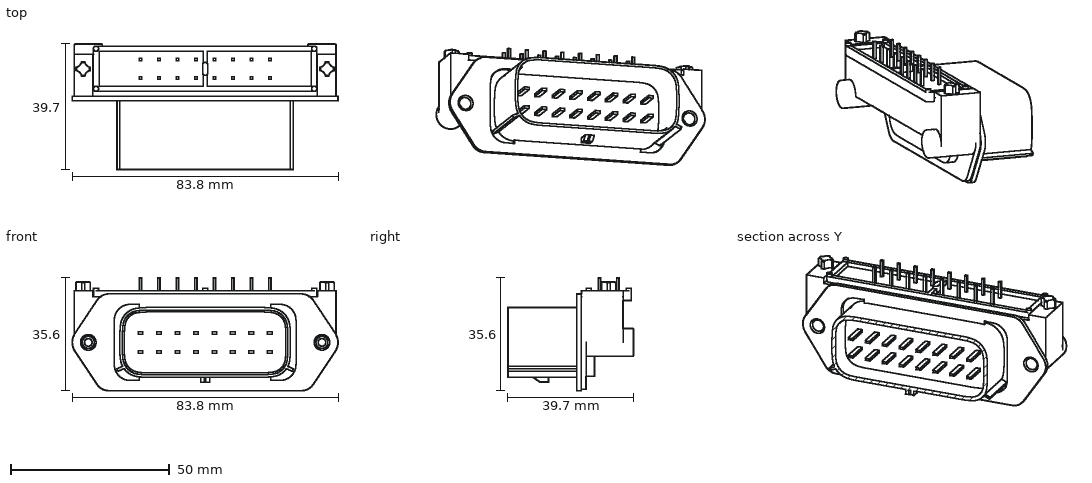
import cadquery as cq
import math


FLANGE_THICK = 1.5
FLANGE_HALF_HEIGHT = 15.28
FLANGE_END_RADIUS = 5.08
FLANGE_CORNER_RADIUS = 4.5
SIDE_NORMAL_ANGLE = math.radians(33.7)
SCREW_X = 36.835

BOSS_RADIUS = 4.45
BOSS_REAR_Y = 17.95
BOSS_EDGE_FILLET = 0.4
PLATE_REAR_Y = 3.0
PLATE_END_RADIUS = 4.47
PLATE_HALF_HEIGHT = 14.8
PLATE_CORNER_RADIUS = 5.2
BLOCK_INNER_X = 35.37
BLOCK_OUTER_X = SCREW_X + BOSS_RADIUS
BLOCK_REAR_Y = 14.7
BODY_TOP_Z = 16.28
CORE_TOP_Z = 14.4

HOLE_MOUTH_RADIUS = 2.45
HOLE_TOP_RADIUS = 1.9
HOLE_BOTTOM_RADIUS = 1.2
HOLE_CHAMFER_DEPTH = 0.5
HOLE_DEPTH = 8.0

POST_RADIUS = 0.83
POST_X = 34.4
POST_FRONT_Y = PLATE_REAR_Y + POST_RADIUS
POST_REAR_Y = 16.45
POST_TOP_Z = 17.1
TRAY_BOTTOM_Z = 13.2
TRAY_SIDE_WALL = 1.83
TRAY_EDGE_WALL = 1.55
TRAY_DEPTH = 1.4
DIVIDER_WIDTH = 1.3
PAD_LENGTH = 4.15

CONTACTS_PER_ROW = 8
PITCH = 5.83
ROW_Z = 3.03
TAIL_ROWS_Y = (7.2, 13.0)
TAIL_SIZE = 0.8
OVERALL_HEIGHT = 35.62
TAIL_TOP_Z = OVERALL_HEIGHT - FLANGE_HALF_HEIGHT
BLADE_WIDTH = 1.5
BLADE_HEIGHT = 0.8
BLADE_TIP_Y = -12.5

SHELL_FRONT_Y = -21.7
SHELL_HALF_WIDTH = 26.9
SHELL_HALF_HEIGHT = 11.0
FLAT_HALF_WIDTH = 18.6
FLAT_HALF_HEIGHT = 2.0
CORNER_START_X = 21.6
CORNER_END_Z = 5.7
EDGE_SAG = 0.25
RIM_WALL = 0.8
CAVITY_WALL = 1.42
CAVITY_FLOOR_Y = -3.9
LEAD_IN_DEPTH = 3.0
INSERT_REAR_Y = 5.66
INSERT_INSET = 0.3

RECESS_INNER_X = 20.75
RECESS_OUTER_X = 28.65
RECESS_HALF_HEIGHT = 12.0
RECESS_RADIUS = 5.0

RIB_INNER = (-25.4, -7.7)
RIB_TIP = (-27.65, -8.75)
RIB_THICK = 0.85
KEY_REAR_Y = -8.8
KEY_TIP_Y = -11.6
KEY_FRONT_Y = -13.75
KEY_BOTTOM_Z = -12.5
KEY_WIDTH = 1.2
KEY_X = 0.85

LUG_X = 38.45
LUG_Y = 10.1
LUG_REACH = 2.3
LUG_TIP_HALF_WIDTH = 0.5
LUG_WAIST = 1.1
LUG_TOP_Z = 19.08
LUG_CHAMFER = 0.35


def box(x_range, y_range, z_range):
    """A block between the given limits."""
    sizes = [high - low for low, high in (x_range, y_range, z_range)]
    corner = (x_range[0], y_range[0], z_range[0])
    return cq.Workplane("XY").box(*sizes, centered=False).translate(corner)


def facing_front(y):
    """A workplane at Y = y with local X, Y along X, Z; it extrudes toward -Y."""
    return cq.Workplane("XZ", origin=(0, y, 0))


def hexagon(end_radius, half_height, corner_radius, y_front, y_rear):
    """A six-sided plate: slanted sides, rounded ends around the screw axes, rounded corners."""
    cos_a = math.cos(SIDE_NORMAL_ANGLE)
    sin_a = math.sin(SIDE_NORMAL_ANGLE)
    side_offset = SCREW_X * cos_a + end_radius
    apex_x = side_offset / cos_a
    corner_x = (side_offset - half_height * sin_a) / cos_a
    outline = [
        (apex_x, 0),
        (corner_x, half_height),
        (-corner_x, half_height),
        (-apex_x, 0),
        (-corner_x, -half_height),
        (corner_x, -half_height),
    ]
    plate = facing_front(y_rear).polyline(outline).close().extrude(y_rear - y_front)
    plate = plate.edges("|Y").edges("<X or >X").fillet(end_radius)
    return plate.edges("|Y").edges("<Z or >Z").fillet(corner_radius)


def shell_wire(y, inset=0.0):
    """The shell outline at Y = y, moved inward by inset."""
    corner = (CORNER_START_X, SHELL_HALF_HEIGHT - EDGE_SAG)
    corner_end = (SHELL_HALF_WIDTH - EDGE_SAG, CORNER_END_Z)
    side = (SHELL_HALF_WIDTH, FLAT_HALF_HEIGHT)
    outline = (
        facing_front(y)
        .moveTo(-FLAT_HALF_WIDTH, SHELL_HALF_HEIGHT)
        .lineTo(FLAT_HALF_WIDTH, SHELL_HALF_HEIGHT)
        .tangentArcPoint(corner, relative=False)
        .tangentArcPoint(corner_end, relative=False)
        .tangentArcPoint(side, relative=False)
        .lineTo(side[0], -side[1])
        .tangentArcPoint((corner_end[0], -corner_end[1]), relative=False)
        .tangentArcPoint((corner[0], -corner[1]), relative=False)
        .tangentArcPoint((FLAT_HALF_WIDTH, -SHELL_HALF_HEIGHT), relative=False)
        .lineTo(-FLAT_HALF_WIDTH, -SHELL_HALF_HEIGHT)
        .tangentArcPoint((-corner[0], -corner[1]), relative=False)
        .tangentArcPoint((-corner_end[0], -corner_end[1]), relative=False)
        .tangentArcPoint((-side[0], -side[1]), relative=False)
        .lineTo(-side[0], side[1])
        .tangentArcPoint((-corner_end[0], corner_end[1]), relative=False)
        .tangentArcPoint((-corner[0], corner[1]), relative=False)
        .tangentArcPoint((-FLAT_HALF_WIDTH, SHELL_HALF_HEIGHT), relative=False)
        .close()
    )
    return outline.offset2D(-inset) if inset else outline


def shell_solid():
    """The filled shell, from its rim through the flange to the insert behind it."""
    shell = shell_wire(FLANGE_THICK).extrude(FLANGE_THICK - SHELL_FRONT_Y)
    insert = shell_wire(INSERT_REAR_Y, INSERT_INSET).extrude(INSERT_REAR_Y - FLANGE_THICK)
    return shell.union(insert)


def shell_cavity():
    """The straight mating cavity and the tapered lead-in at its rim."""
    lead_in_y = SHELL_FRONT_Y + LEAD_IN_DEPTH
    cavity = shell_wire(CAVITY_FLOOR_Y, CAVITY_WALL).extrude(CAVITY_FLOOR_Y - lead_in_y)
    rim = shell_wire(SHELL_FRONT_Y, RIM_WALL).val()
    throat = shell_wire(lead_in_y, CAVITY_WALL).val()
    lead_in = cq.Workplane(cq.Solid.makeLoft([rim, throat], True))
    return cavity.union(lead_in)


def end_recess():
    """The recess through the flange around the left end of the shell."""
    recess = box(
        (-RECESS_OUTER_X, -RECESS_INNER_X),
        (0, FLANGE_THICK),
        (-RECESS_HALF_HEIGHT, RECESS_HALF_HEIGHT),
    )
    return recess.edges("|Y and <X").fillet(RECESS_RADIUS)


def corner_rib():
    """The thin rib along the lower left corner of the shell."""
    run = RIB_TIP[0] - RIB_INNER[0]
    rise = RIB_TIP[1] - RIB_INNER[1]
    middle = ((RIB_INNER[0] + RIB_TIP[0]) / 2, (RIB_INNER[1] + RIB_TIP[1]) / 2)
    return (
        facing_front(FLANGE_THICK)
        .center(*middle)
        .transformed(rotate=(0, 0, math.degrees(math.atan2(rise, run))))
        .rect(math.hypot(run, rise), RIB_THICK)
        .extrude(FLANGE_THICK - SHELL_FRONT_Y)
    )


def bottom_key(x):
    """A wedge-fronted key under the shell, centred at X = x."""
    top_z = -SHELL_HALF_HEIGHT + RIM_WALL / 2
    profile = [
        (KEY_REAR_Y, top_z),
        (KEY_REAR_Y, KEY_BOTTOM_Z),
        (KEY_TIP_Y, KEY_BOTTOM_Z),
        (KEY_FRONT_Y, -SHELL_HALF_HEIGHT),
        (KEY_FRONT_Y, top_z),
    ]
    plane = cq.Workplane("YZ", origin=(x - KEY_WIDTH / 2, 0, 0))
    return plane.polyline(profile).close().extrude(KEY_WIDTH)


def end_block():
    """The left end block with the screw boss under it."""
    block = box((-BLOCK_OUTER_X, -BLOCK_INNER_X), (FLANGE_THICK, BLOCK_REAR_Y), (0, BODY_TOP_Z))
    boss = (
        facing_front(BOSS_REAR_Y)
        .center(-SCREW_X, 0)
        .circle(BOSS_RADIUS)
        .extrude(BOSS_REAR_Y - FLANGE_THICK)
        .faces(">Y")
        .edges()
        .fillet(BOSS_EDGE_FILLET)
    )
    return block.union(boss)


def screw_hole(x):
    """The blind screw hole at X = x: chamfered mouth, then a tapering bore."""
    profile = [
        (0, 0),
        (0, HOLE_MOUTH_RADIUS),
        (HOLE_CHAMFER_DEPTH, HOLE_TOP_RADIUS),
        (HOLE_DEPTH, HOLE_BOTTOM_RADIUS),
        (HOLE_DEPTH, 0),
    ]
    plane = cq.Workplane("YZ", origin=(x, 0, 0))
    return plane.polyline(profile).close().revolve(360, (0, 0), (1, 0))


def board_lug():
    """The left four-pointed lug that locates the board."""
    tip = LUG_TIP_HALF_WIDTH
    lug = cq.Workplane("XY").moveTo(LUG_REACH, -tip)
    for quarter in range(4):
        cos_q = round(math.cos(quarter * math.pi / 2))
        sin_q = round(math.sin(quarter * math.pi / 2))
        tip_end, waist, next_tip = [
            (x * cos_q - y * sin_q, x * sin_q + y * cos_q)
            for x, y in ((LUG_REACH, tip), (LUG_WAIST, LUG_WAIST), (tip, LUG_REACH))
        ]
        lug = lug.lineTo(*tip_end).threePointArc(waist, next_tip)
    lug = lug.close().extrude(LUG_TOP_Z - BODY_TOP_Z)
    for side in ("<X", ">X", "<Y", ">Y"):
        lug = lug.faces(side).edges(">Z").chamfer(LUG_CHAMFER)
    return lug.translate((-LUG_X, LUG_Y, BODY_TOP_Z))


def tail_tray():
    """The shallow tray around the contact tails, with its divider, posts and pad."""
    half_width = POST_X + POST_RADIUS
    rear_y = POST_REAR_Y + POST_RADIUS
    tray = box((-half_width, half_width), (PLATE_REAR_Y, rear_y), (TRAY_BOTTOM_Z, BODY_TOP_Z))
    tray = tray.edges("|Z").fillet(POST_RADIUS)
    floor_z = BODY_TOP_Z - TRAY_DEPTH
    inner_x = half_width - TRAY_SIDE_WALL
    y_range = (PLATE_REAR_Y + TRAY_EDGE_WALL, rear_y - TRAY_EDGE_WALL)
    for x_range in ((-inner_x, -DIVIDER_WIDTH / 2), (DIVIDER_WIDTH / 2, inner_x)):
        tray = tray.cut(box(x_range, y_range, (floor_z, BODY_TOP_Z)))
    posts = (
        cq.Workplane("XY", origin=(0, 0, TRAY_BOTTOM_Z))
        .pushPoints([(x, y) for x in (-POST_X, POST_X) for y in (POST_FRONT_Y, POST_REAR_Y)])
        .circle(POST_RADIUS)
        .extrude(POST_TOP_Z - TRAY_BOTTOM_Z)
    )
    pad = (
        cq.Workplane("XY", origin=(0, sum(TAIL_ROWS_Y) / 2, TRAY_BOTTOM_Z))
        .slot2D(PAD_LENGTH, 2 * POST_RADIUS, 90)
        .extrude(POST_TOP_Z - TRAY_BOTTOM_Z)
    )
    return tray.union(posts).union(pad)


def contacts():
    """Two rows of mating blades in the shell and two rows of tails out of the tray."""
    columns = [(i - (CONTACTS_PER_ROW - 1) / 2) * PITCH for i in range(CONTACTS_PER_ROW)]
    blades = (
        facing_front(FLANGE_THICK)
        .pushPoints([(x, z) for x in columns for z in (-ROW_Z, ROW_Z)])
        .rect(BLADE_WIDTH, BLADE_HEIGHT)
        .extrude(FLANGE_THICK - BLADE_TIP_Y)
    )
    tails = (
        cq.Workplane("XY", origin=(0, 0, TRAY_BOTTOM_Z))
        .pushPoints([(x, y) for x in columns for y in TAIL_ROWS_Y])
        .rect(TAIL_SIZE, TAIL_SIZE)
        .extrude(TAIL_TOP_Z - TRAY_BOTTOM_Z)
    )
    return blades.union(tails)


def on_both_ends(left_feature):
    """A left-end feature together with its mirror image at the right end."""
    return left_feature.union(left_feature.mirror("YZ"))


flange = hexagon(FLANGE_END_RADIUS, FLANGE_HALF_HEIGHT, FLANGE_CORNER_RADIUS, 0, FLANGE_THICK)
rear_plate = hexagon(
    PLATE_END_RADIUS, PLATE_HALF_HEIGHT, PLATE_CORNER_RADIUS, FLANGE_THICK, PLATE_REAR_Y
)
lower_half = box(
    (-BLOCK_OUTER_X, BLOCK_OUTER_X), (FLANGE_THICK, PLATE_REAR_Y), (-PLATE_HALF_HEIGHT, 0)
)
core = box((-BLOCK_INNER_X, BLOCK_INNER_X), (FLANGE_THICK, BLOCK_REAR_Y), (0, CORE_TOP_Z))

result = (
    flange.cut(on_both_ends(end_recess()))
    .union(rear_plate.intersect(lower_half))
    .union(core)
    .union(on_both_ends(end_block()))
    .union(tail_tray())
    .union(on_both_ends(board_lug()))
    .union(shell_solid())
    .union(on_both_ends(corner_rib()))
    .union(bottom_key(-KEY_X))
    .union(bottom_key(KEY_X))
    .cut(shell_cavity())
    .cut(screw_hole(-SCREW_X))
    .cut(screw_hole(SCREW_X))
    .union(contacts())
)